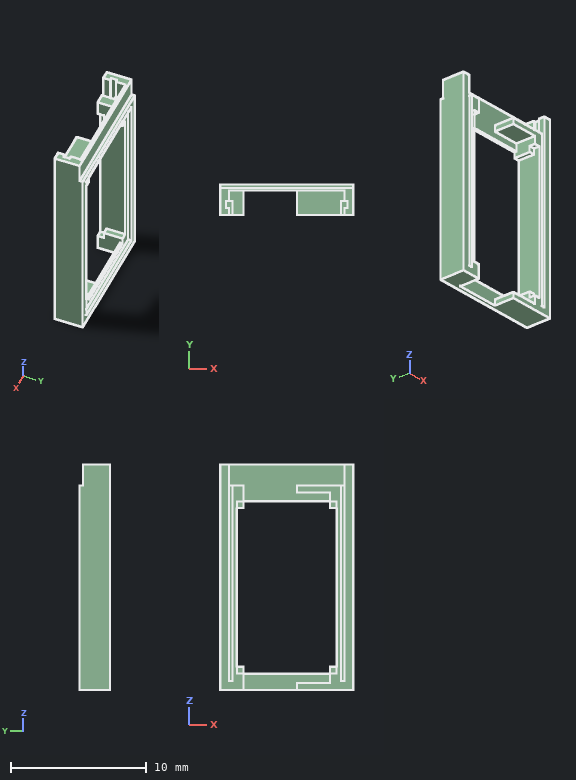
import cadquery as cq

WIDTH = 9.81
DEPTH = 2.25
HEIGHT = 16.63

WINDOW_HALF_WIDTH = 3.68
WINDOW_BOTTOM = 1.23
WINDOW_TOP = 13.9

WEB_FRONT = 1.8
WEB_BACK = 2.0

REBATE_MARGIN = 0.57

LEDGE_Z = 15.08

SLOT_INNER_X = 3.97
SLOT_OUTER_X = 4.24
GROOVE_OUTER_X = 4.45
GROOVE_FRONT = 0.53
GROOVE_BACK = 1.01
SLOT_BOTTOM = 0.67

BLOCK_INNER_X = 3.18
BLOCK_PROJECTION = 0.5
PROJECTION_FRONT = 0.5

CLIP_TIP_X = 0.75
CLIP_THICKNESS = 0.52


def box(x_min, x_max, y_min, y_max, z_min, z_max):
    """Box spanning the given limits."""
    size = (x_max - x_min, y_max - y_min, z_max - z_min)
    return cq.Workplane("XY").box(*size, centered=False).translate((x_min, y_min, z_min))


def frame():
    """Rectangular frame with a window and a thin, recessed web."""
    body = box(-WIDTH / 2, WIDTH / 2, 0, DEPTH, 0, HEIGHT)
    body = body.cut(box(-WINDOW_HALF_WIDTH, WINDOW_HALF_WIDTH, 0, DEPTH, WINDOW_BOTTOM, WINDOW_TOP))
    body = body.cut(box(-BLOCK_INNER_X, BLOCK_INNER_X, 0, WEB_FRONT, 0, HEIGHT))
    rebate_half_width = WINDOW_HALF_WIDTH + REBATE_MARGIN
    rebate_bottom = WINDOW_BOTTOM - REBATE_MARGIN
    rebate_top = WINDOW_TOP + REBATE_MARGIN
    body = body.cut(box(-rebate_half_width, rebate_half_width, WEB_BACK, DEPTH, rebate_bottom, rebate_top))
    body = body.cut(box(-SLOT_OUTER_X, SLOT_OUTER_X, 0, WEB_FRONT, LEDGE_Z, HEIGHT))
    return body.cut(box(-WIDTH / 2, WIDTH / 2, WEB_BACK, DEPTH, LEDGE_Z, HEIGHT))


def card_slot():
    """Cutter for the right-hand slot: a narrow entry and a wider groove."""
    entry = box(SLOT_INNER_X, SLOT_OUTER_X, 0, GROOVE_BACK, SLOT_BOTTOM, HEIGHT)
    groove = box(SLOT_INNER_X, GROOVE_OUTER_X, GROOVE_FRONT, GROOVE_BACK, SLOT_BOTTOM, HEIGHT)
    return entry.union(groove)


def block_projections():
    """Right-hand block ends, above and below, that project into the window."""
    limits = (BLOCK_INNER_X, WINDOW_HALF_WIDTH, PROJECTION_FRONT, WEB_BACK)
    lower = box(*limits, WINDOW_BOTTOM, WINDOW_BOTTOM + BLOCK_PROJECTION)
    upper = box(*limits, WINDOW_TOP - BLOCK_PROJECTION, WINDOW_TOP)
    return lower.union(upper)


def clip(z_min):
    """Shelf reaching from the right-hand block along the web."""
    return box(CLIP_TIP_X, BLOCK_INNER_X, 0, WEB_FRONT, z_min, z_min + CLIP_THICKNESS)


result = frame()
result = result.cut(card_slot()).cut(card_slot().mirror("YZ"))
result = result.union(block_projections())
result = result.union(block_projections().mirror("YZ"))
for clip_bottom in (0, LEDGE_Z - CLIP_THICKNESS):
    result = result.union(clip(clip_bottom))